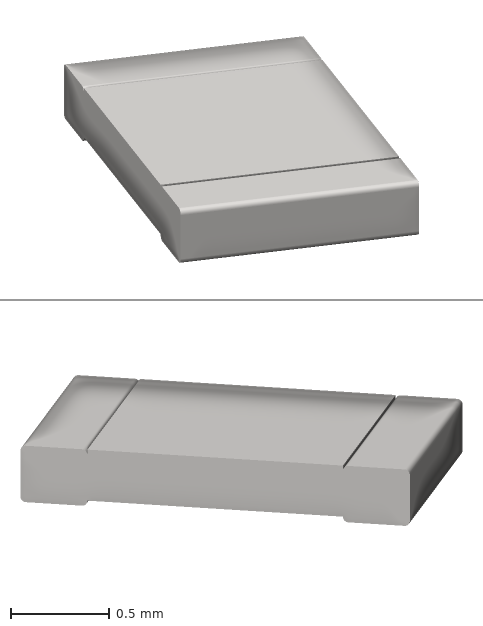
import cadquery as cq

length = 2.03
width = 1.27
height = 0.3

plating = 0.028
terminal_length = 0.35
corner_radius = plating

core_length = length - 2 * plating
core_height = height - 2 * plating
coating_length = length - 2 * terminal_length


def make_core():
    """Plain ceramic block centred on the origin."""
    return cq.Workplane("XY").box(core_length, width, core_height)


def make_coating():
    """Flat layer on top of the core, between the terminals."""
    return (
        cq.Workplane("XY")
        .box(coating_length, width, plating)
        .translate((0, 0, (core_height + plating) / 2))
    )


def make_terminal():
    """C-shaped cap around the -X end, with its four outer long edges rounded."""
    cap = (
        cq.Workplane("XY")
        .box(terminal_length, width, height)
        .translate(((terminal_length - length) / 2, 0, 0))
        .edges("|Y")
        .fillet(corner_radius)
    )
    return cap.cut(make_core())


terminal = make_terminal()

result = make_core()
for piece in (make_coating(), terminal, terminal.mirror("YZ")):
    result = result.union(piece, clean=False)